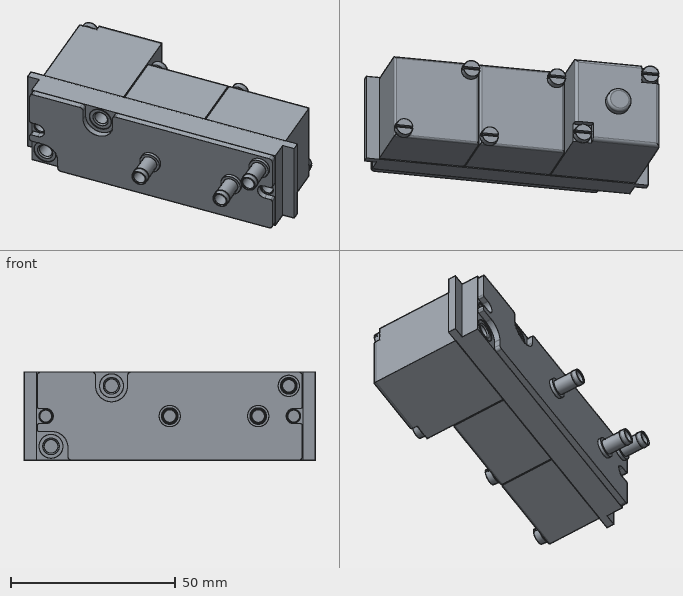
import cadquery as cq


LENGTH = 88.7
HEIGHT = 27.0
FLANGE_THICKNESS = 2.5
BLOCK_LENGTH = 81.1
BLOCK_FRONT_Y = -8.1

PLATE_LENGTH = 80.7
PLATE_HEIGHT = 26.8
PLATE_THICKNESS = 1.95
PLATE_FRONT_Y = BLOCK_FRONT_Y - PLATE_THICKNESS
PLATE_CORNER_RADIUS = 1.1
PLATE_END_RADIUS = 0.5

BODY_PITCH = 27.0
BODY_WIDTH = 26.6
BODY_HEIGHT = 26.25
TALL_DEPTH = 30.2
TALL_ROUND = 1.1
SHORT_DEPTH = 18.5
SHORT_ROUND = 0.6

SCREW_TOP_DIAMETER = 5.15
SCREW_BASE_DIAMETER = 5.5
SCREW_HEAD_HEIGHT = 2.1
SCREW_X = 10.55
SCREW_Z = 10.6
SLOT_WIDTH = 0.8
SLOT_DEPTH = 1.1
SCREW_NOTCH_SIZE = 5.7
SCREW_NOTCH_DEPTH = 2.5

BUTTON_DIAMETER = 7.5
BUTTON_HEIGHT = 2.75
BUTTON_ROUND = 0.9

NIPPLE_LENGTH = 9.05
NIPPLE_TIP_Y = PLATE_FRONT_Y - NIPPLE_LENGTH
NIPPLE_DIAMETER = 4.8
NIPPLE_MOUTH = 4.35
NIPPLE_BORE = 3.8
COLLAR_DIAMETER = 6.5
COLLAR_THICKNESS = 1.1
BARB_DIAMETER = 5.1
BARB_WIDTH = 0.4
BARB_CONE_LENGTH = 1.3
NIPPLE_CENTERS = ((0, 0), (BODY_PITCH, 0), (36.3, 9.2))

PORT_RECESS_DIAMETER = 7.3
PORT_RECESS_DEPTH = 0.3
PORT_MOUTH = 5.1
PORT_BORE = 4.2
HOLE_DEPTH = 7.1
EDGE_PORT = (-17.7, 9.2)
CORNER_PORT = (-36.2, -9.2)
POCKET_RADIUS = 4.9
CORNER_POCKET_X = -31.05
CORNER_POCKET_Z = -4.7

FIXING_X = 37.8
FIXING_SLOT_WIDTH = 4.6
FIXING_MOUTH = 4.2
FIXING_BORE = 3.6


def box(x_range, y_range, z_range):
    """Axis-aligned box given by its low and high limits."""
    sizes = [high - low for low, high in (x_range, y_range, z_range)]
    corner = (x_range[0], y_range[0], z_range[0])
    return cq.Workplane("XY").box(*sizes, centered=False).translate(corner)


def centered_box(x, z, width, height, y_range):
    """Box centred on (x, z)."""
    return box((x - width / 2, x + width / 2), y_range, (z - height / 2, z + height / 2))


def round_bar(x, z, diameter, y_start, y_end):
    """Cylinder along Y."""
    start = cq.Vector(x, y_start, z)
    bar = cq.Solid.makeCylinder(diameter / 2, y_end - y_start, start, cq.Vector(0, 1, 0))
    return cq.Workplane(obj=bar)


def cone(x, z, start_diameter, end_diameter, y_start, y_end):
    """Truncated cone along Y."""
    start = cq.Vector(x, y_start, z)
    solid = cq.Solid.makeCone(
        start_diameter / 2, end_diameter / 2, y_end - y_start, start, cq.Vector(0, 1, 0)
    )
    return cq.Workplane(obj=solid)


def chamfered_hole(x, z, mouth, bore, y_face, depth):
    """Cutter for a blind hole entered from -Y, with a 45 degree chamfer at its mouth."""
    chamfer = (mouth - bore) / 2
    hole = round_bar(x, z, bore, y_face, y_face + depth)
    return hole.union(cone(x, z, mouth, bore, y_face, y_face + chamfer))


def screw_head(x, z, y_seat):
    """Slightly tapered, slotted head standing on y_seat."""
    y_top = y_seat + SCREW_HEAD_HEIGHT
    head = cone(x, z, SCREW_BASE_DIAMETER, SCREW_TOP_DIAMETER, y_seat, y_top)
    return head.cut(centered_box(x, z, SCREW_BASE_DIAMETER, SLOT_WIDTH, (y_top - SLOT_DEPTH, y_top)))


def valve_body(x, depth, edge_round, notch_depth):
    """Body with rounded rear edges and two diagonal screws, sunk in corner notches if notch_depth > 0."""
    body = centered_box(x, 0, BODY_WIDTH, BODY_HEIGHT, (0, depth))
    body = body.faces(">Y").edges().fillet(edge_round)
    seat = depth - notch_depth
    for side in (-1, 1):
        if notch_depth > 0:
            notch_x = x + side * (BODY_WIDTH - SCREW_NOTCH_SIZE) / 2
            notch_z = -side * (BODY_HEIGHT - SCREW_NOTCH_SIZE) / 2
            body = body.cut(
                centered_box(notch_x, notch_z, SCREW_NOTCH_SIZE, SCREW_NOTCH_SIZE, (seat, depth))
            )
        body = body.union(screw_head(x + side * SCREW_X, -side * SCREW_Z, seat))
    return body


def front_plate():
    """Plate with two port pockets and two fixing slots, its outline rounded at every outer corner."""
    y_range = (PLATE_FRONT_Y, BLOCK_FRONT_Y)
    end_x = PLATE_LENGTH / 2
    top_z = PLATE_HEIGHT / 2
    plate = centered_box(0, 0, PLATE_LENGTH, PLATE_HEIGHT, y_range)

    port_x, port_z = EDGE_PORT
    plate = plate.cut(round_bar(port_x, port_z, 2 * POCKET_RADIUS, *y_range))
    plate = plate.cut(box((port_x - POCKET_RADIUS, port_x + POCKET_RADIUS), y_range, (port_z, top_z)))

    pocket = box((-end_x, CORNER_POCKET_X), y_range, (-top_z, CORNER_POCKET_Z))
    plate = plate.cut(pocket.edges(">X and >Z").fillet(POCKET_RADIUS))

    for side in (-1, 1):
        plate = plate.cut(round_bar(side * FIXING_X, 0, FIXING_SLOT_WIDTH, *y_range))
        slot_x = side * (FIXING_X + end_x) / 2
        plate = plate.cut(centered_box(slot_x, 0, end_x - FIXING_X, FIXING_SLOT_WIDTH, y_range))

    for direction in (">Z", "<Z"):
        plate = plate.faces(direction).edges("|Y").fillet(PLATE_CORNER_RADIUS)
    inner_corners = cq.selectors.BoxSelector(
        (-LENGTH, PLATE_FRONT_Y, CORNER_POCKET_Z - PLATE_END_RADIUS),
        (LENGTH, BLOCK_FRONT_Y, -CORNER_POCKET_Z),
    )
    for direction in (">X", "<X"):
        plate = plate.faces(direction).edges("|Y").edges(inner_corners).fillet(PLATE_END_RADIUS)
    return plate


def nipple(x, z):
    """Hose nipple with a collar at its root and a barb that narrows to its tip."""
    barb_y = NIPPLE_TIP_Y + BARB_CONE_LENGTH
    tube = round_bar(x, z, NIPPLE_DIAMETER, barb_y, PLATE_FRONT_Y)
    collar = round_bar(x, z, COLLAR_DIAMETER, PLATE_FRONT_Y - COLLAR_THICKNESS, PLATE_FRONT_Y)
    barb = round_bar(x, z, BARB_DIAMETER, barb_y, barb_y + BARB_WIDTH)
    tip = cone(x, z, NIPPLE_DIAMETER, BARB_DIAMETER, NIPPLE_TIP_Y, barb_y)
    return tube.union(collar).union(barb).union(tip)


result = centered_box(0, 0, LENGTH, HEIGHT, (-FLANGE_THICKNESS, 0))
result = result.union(centered_box(0, 0, BLOCK_LENGTH, HEIGHT, (BLOCK_FRONT_Y, 0)))
result = result.union(front_plate())

result = result.union(valve_body(-BODY_PITCH, TALL_DEPTH, TALL_ROUND, SCREW_NOTCH_DEPTH))
for body_x in (0, BODY_PITCH):
    result = result.union(valve_body(body_x, SHORT_DEPTH, SHORT_ROUND, 0))

button = round_bar(-BODY_PITCH, 0, BUTTON_DIAMETER, TALL_DEPTH, TALL_DEPTH + BUTTON_HEIGHT)
result = result.union(button.faces(">Y").edges().fillet(BUTTON_ROUND))

nipple_bore_depth = BLOCK_FRONT_Y + HOLE_DEPTH - NIPPLE_TIP_Y
for x, z in NIPPLE_CENTERS:
    result = result.union(nipple(x, z))
    result = result.cut(chamfered_hole(x, z, NIPPLE_MOUTH, NIPPLE_BORE, NIPPLE_TIP_Y, nipple_bore_depth))

for x, z in (EDGE_PORT, CORNER_PORT):
    recess_y = BLOCK_FRONT_Y + PORT_RECESS_DEPTH
    result = result.cut(round_bar(x, z, PORT_RECESS_DIAMETER, BLOCK_FRONT_Y, recess_y))
    result = result.cut(chamfered_hole(x, z, PORT_MOUTH, PORT_BORE, recess_y, HOLE_DEPTH))

for x in (-FIXING_X, FIXING_X):
    result = result.cut(chamfered_hole(x, 0, FIXING_MOUTH, FIXING_BORE, BLOCK_FRONT_Y, HOLE_DEPTH))